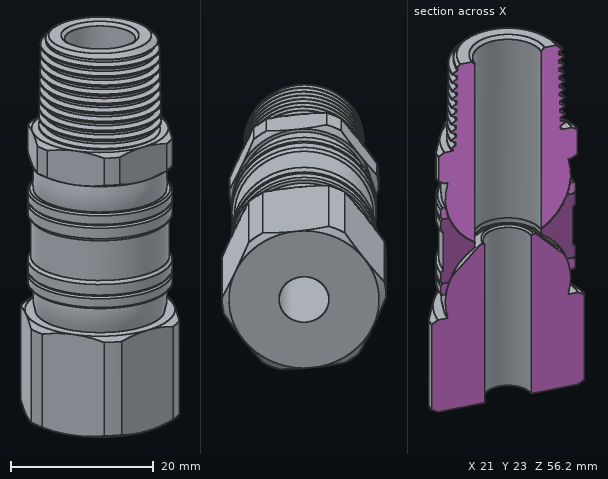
import cadquery as cq
import math

total_height = 56.2
mid_z = 26.15
ball_offset = 8.45
hex_face_offset = 11.0

ball_radius = 9.45
male_bore_radius = 4.95
male_bore_chamfer = 0.5
female_bore_radius = 3.5
female_bore_chamfer = 0.3

tip_land_radius = 4.0
tip_rounding = 0.35
tip_cone_angle = math.radians(45)

nut_across_flats = 21.0
nut_corner_diameter = 23.0
wrench_across_flats = 19.1
wrench_corner_diameter = 20.9
wrench_height = 5.1
hex_chamfer_angle = math.radians(30)
hex_half_sector = 30

band_radius = 10.1
waist_radius = 9.7
waist_half_height = 3.0
flange_bevel_height = 0.45
joint_offset = 5.3
joint_bevel = 0.3
cap_height = 1.85
cap_bevel = 0.3

thread_pitch = 1.35
root_radius_top = 7.6
root_radius_bottom = 7.85
thread_depth = 0.75
crest_width = 0.15
ridge_base_width = 1.2
ridge_overrun = 2 * thread_pitch
ridge_overlap = 0.15
stem_tip_radius = 7.2
stem_tip_chamfer_height = 1.4
stem_tip_chamfer_width = 1.5

upper_ball_z = mid_z + ball_offset
lower_ball_z = mid_z - ball_offset
nut_height = mid_z - hex_face_offset
wrench_bottom = mid_z + hex_face_offset
stem_bottom = wrench_bottom + wrench_height
stem_length = total_height - stem_bottom


def revolved(points):
    """Solid of revolution about Z from (radius, z) points."""
    return cq.Workplane("XZ").polyline(points).close().revolve(360, (0, 0), (0, 1))


def ball(centre_z):
    return cq.Workplane("XY").sphere(ball_radius).translate((0, 0, centre_z))


def chamfered_hexagon(across_flats, corner_diameter, bottom, height):
    """Hexagonal prism with turned corners and a conical chamfer at both ends."""
    face_radius = across_flats / 2
    corner_radius = corner_diameter / 2
    drop = (corner_radius - face_radius) * math.tan(hex_chamfer_angle)
    top = bottom + height
    prism = (
        cq.Workplane("XY")
        .workplane(offset=bottom)
        .transformed(rotate=(0, 0, hex_half_sector))
        .polygon(6, across_flats / math.cos(math.radians(hex_half_sector)))
        .extrude(height)
    )
    turned_blank = revolved([
        (0, bottom),
        (face_radius, bottom),
        (corner_radius, bottom + drop),
        (corner_radius, top - drop),
        (face_radius, top),
        (0, top),
    ])
    return prism.intersect(turned_blank)


def thread_ridge():
    """Tapered left-hand ridge, running past both ends of the stem."""
    start_z = stem_bottom - ridge_overrun
    length = stem_length + 2 * ridge_overrun
    taper = (root_radius_bottom - root_radius_top) / stem_length
    start_radius = root_radius_bottom + taper * (stem_bottom - start_z)
    helix = cq.Wire.makeHelix(
        thread_pitch, length, start_radius, cq.Vector(0, 0, start_z),
        angle=-math.degrees(math.atan(taper)), lefthand=True,
    )
    inner = start_radius - ridge_overlap
    crest = start_radius + thread_depth
    profile = cq.Workplane("XZ").polyline([
        (inner, start_z - ridge_base_width / 2),
        (crest, start_z - crest_width / 2),
        (crest, start_z + crest_width / 2),
        (inner, start_z + ridge_base_width / 2),
    ]).close()
    return profile.sweep(cq.Workplane(helix), isFrenet=True)


def threaded_stem():
    root = revolved([
        (0, stem_bottom),
        (root_radius_bottom, stem_bottom),
        (root_radius_top, total_height),
        (0, total_height),
    ])
    shoulder_radius = stem_tip_radius + stem_tip_chamfer_width
    envelope = revolved([
        (0, stem_bottom),
        (shoulder_radius, stem_bottom),
        (shoulder_radius, total_height - stem_tip_chamfer_height),
        (stem_tip_radius, total_height),
        (0, total_height),
    ])
    ridge = thread_ridge().intersect(envelope)
    return root.intersect(envelope).union(ridge)


def make_male_end():
    """Threaded stem, wrench hexagon and upper ball."""
    wrench = chamfered_hexagon(
        wrench_across_flats, wrench_corner_diameter, wrench_bottom, wrench_height
    )
    body = ball(upper_ball_z).union(wrench).union(threaded_stem())
    mouth_radius = male_bore_radius + male_bore_chamfer
    bore = revolved([
        (0, 0),
        (male_bore_radius, 0),
        (male_bore_radius, total_height - male_bore_chamfer),
        (mouth_radius, total_height),
        (0, total_height),
    ])
    return body.cut(bore)


def tip_envelope():
    """Solid below the cone, rounding and land that shape the tip of the lower ball."""
    rounding_centre_z = mid_z - tip_rounding
    half_angle = tip_cone_angle / 2
    rounding_middle = (
        tip_land_radius + tip_rounding * math.sin(half_angle),
        rounding_centre_z + tip_rounding * math.cos(half_angle),
    )
    cone_top_radius = tip_land_radius + tip_rounding * math.sin(tip_cone_angle)
    cone_top_z = rounding_centre_z + tip_rounding * math.cos(tip_cone_angle)
    outer_radius = nut_corner_diameter / 2
    cone_bottom_z = cone_top_z - (outer_radius - cone_top_radius) * math.tan(tip_cone_angle)
    return (
        cq.Workplane("XZ")
        .moveTo(0, 0)
        .lineTo(outer_radius, 0)
        .lineTo(outer_radius, cone_bottom_z)
        .lineTo(cone_top_radius, cone_top_z)
        .threePointArc(rounding_middle, (tip_land_radius, mid_z))
        .lineTo(0, mid_z)
        .close()
        .revolve(360, (0, 0), (0, 1))
    )


def make_female_end():
    """Hexagonal nut and lower ball with a conical tip, bored through."""
    nut = chamfered_hexagon(nut_across_flats, nut_corner_diameter, 0, nut_height)
    body = nut.union(ball(lower_ball_z).intersect(tip_envelope()))
    bore = revolved([
        (0, 0),
        (female_bore_radius, 0),
        (female_bore_radius, mid_z - female_bore_chamfer),
        (female_bore_radius + female_bore_chamfer, mid_z),
        (0, mid_z),
    ])
    return body.cut(bore)


def make_sleeve():
    """Waisted sleeve with a flange at each end and a socket for each ball."""
    joint_radius = band_radius - joint_bevel
    flange_end = joint_offset - joint_bevel
    flange_start = waist_half_height + flange_bevel_height
    upper_half = [
        (waist_radius, waist_half_height),
        (band_radius, flange_start),
        (band_radius, flange_end),
        (joint_radius, joint_offset),
    ]
    lower_half = [(radius, -z) for radius, z in reversed(upper_half)]
    outline = [(male_bore_radius, -joint_offset)] + lower_half + upper_half
    outline.append((male_bore_radius, joint_offset))
    sleeve = revolved([(radius, mid_z + z) for radius, z in outline])
    return sleeve.cut(ball(upper_ball_z)).cut(ball(lower_ball_z))


def make_cap(side):
    """End cap around one ball: side is +1 for the upper, -1 for the lower."""
    outer_end = joint_offset + cap_height
    outline = [
        (male_bore_radius, joint_offset),
        (band_radius - joint_bevel, joint_offset),
        (band_radius, joint_offset + joint_bevel),
        (band_radius, outer_end - cap_bevel),
        (band_radius - cap_bevel, outer_end),
        (male_bore_radius, outer_end),
    ]
    blank = revolved([(radius, mid_z + side * z) for radius, z in outline])
    return blank.cut(ball(mid_z + side * ball_offset))


male_end = make_male_end()
female_end = make_female_end()
sleeve = make_sleeve()
caps = [make_cap(side) for side in (1, -1)]

result = cq.Compound.makeCompound(
    [male_end.val(), female_end.val(), sleeve.val()] + [cap.val() for cap in caps]
)